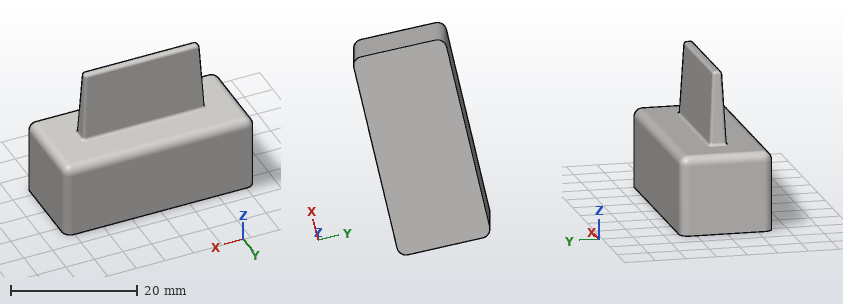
import cadquery as cq

block_length = 33.2
block_width = 15.1
block_height = 12.9
block_fillet = 1.5

total_height = 24.9
blade_height = total_height - block_height
blade_length = 21.25
blade_thickness = 2.75
blade_draft = 3.0
blade_fillet = 0.5


def make_block():
    """Block with rounded upright and top edges and a sharp, flat bottom."""
    block = cq.Workplane("XY").box(block_length, block_width, block_height, centered=(True, True, False))
    return block.edges("|Z or >Z").fillet(block_fillet)


def make_blade():
    """Drafted blade with its slanted corner edges and top edges rounded."""
    blade = (
        cq.Workplane("XY", origin=(0, 0, block_height))
        .rect(blade_length, blade_thickness)
        .extrude(blade_height, taper=blade_draft)
    )
    return blade.edges("not <Z").fillet(blade_fillet)


def blend_blade_root(part):
    """Round the inside corner where the blade meets the top of the block."""
    margin = blade_fillet
    root_zone = cq.selectors.BoxSelector(
        (-blade_length / 2 - margin, -blade_thickness / 2 - margin, block_height - margin),
        (blade_length / 2 + margin, blade_thickness / 2 + margin, block_height + margin),
    )
    return part.edges(root_zone).fillet(blade_fillet)


result = blend_blade_root(make_block().union(make_blade()))